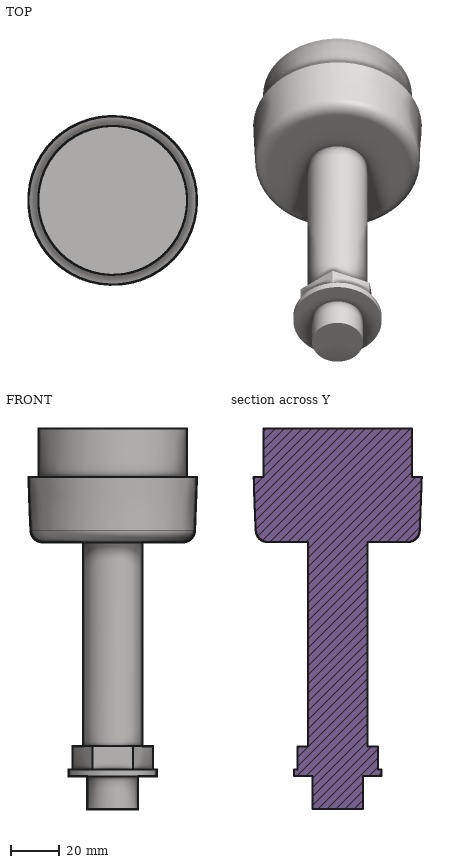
import cadquery as cq

washer_bottom = 13.8
nut_bottom = 16.6
nut_top = 26.3
cup_bottom = 111.0
cup_top = 138.3
total_height = 158.5

stub_diameter = 21.2
washer_diameter = 36.8
tube_diameter = 24.9
cup_bottom_diameter = 68.1
cup_top_diameter = 70.2
cap_diameter = 62.0

nut_across_corners = 33.6
cup_edge_radius = 5.2


def cylinder(diameter, bottom, top):
    """Round section on the Z axis between two heights."""
    return cq.Workplane("XY").workplane(offset=bottom).circle(diameter / 2).extrude(top - bottom)


def hex_nut():
    """Hexagonal nut with two opposite corners on the X axis."""
    return (
        cq.Workplane("XY")
        .workplane(offset=nut_bottom)
        .polygon(6, nut_across_corners)
        .extrude(nut_top - nut_bottom)
    )


def cup():
    """Slightly tapered cup, wider at the rim, with a rounded bottom edge."""
    return (
        cq.Workplane("XZ")
        .moveTo(0, cup_bottom)
        .lineTo(cup_bottom_diameter / 2, cup_bottom)
        .lineTo(cup_top_diameter / 2, cup_top)
        .lineTo(0, cup_top)
        .close()
        .revolve(360, (0, 0, 0), (0, 1, 0))
        .faces("<Z")
        .edges()
        .fillet(cup_edge_radius)
    )


stub = cylinder(stub_diameter, 0, washer_bottom)
washer = cylinder(washer_diameter, washer_bottom, nut_bottom)
tube = cylinder(tube_diameter, nut_bottom, cup_bottom)
cap = cylinder(cap_diameter, cup_top, total_height)

result = stub.union(washer).union(hex_nut()).union(tube).union(cup()).union(cap)